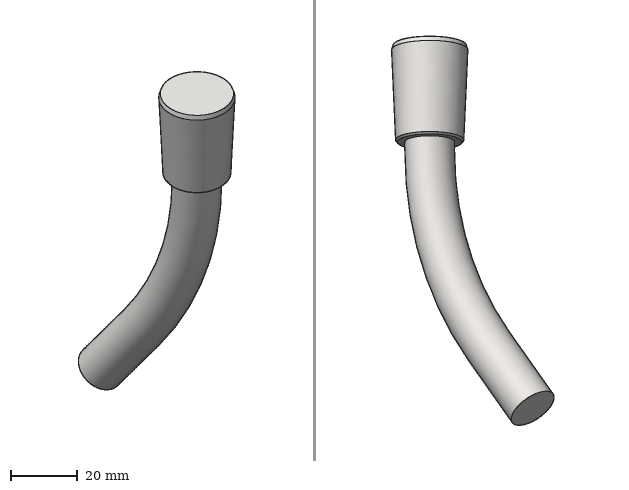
import cadquery as cq
import math

CAP_HEIGHT = 30.0
CAP_TOP_RADIUS = 11.5
CAP_BOTTOM_RADIUS = 10.3
TOP_CHAMFER_WIDTH = 0.5
TOP_CHAMFER_HEIGHT = 1.5
BOTTOM_CHAMFER = 0.6

ROD_RADIUS = 7.5
NECK_LENGTH = 2.5
BEND_RADIUS = 109.9
BEND_ANGLE = 35.0
TAIL_LENGTH = 25.5
LEAN_DIRECTION = 210.0


def make_cap():
    """Solid cone frustum, wider at the top, chamfered at both rims."""
    profile = [
        (0, 0),
        (CAP_TOP_RADIUS - TOP_CHAMFER_WIDTH, 0),
        (CAP_TOP_RADIUS, -TOP_CHAMFER_HEIGHT),
        (CAP_BOTTOM_RADIUS, BOTTOM_CHAMFER - CAP_HEIGHT),
        (CAP_BOTTOM_RADIUS - BOTTOM_CHAMFER, -CAP_HEIGHT),
        (0, -CAP_HEIGHT),
    ]
    return cq.Workplane("XZ").polyline(profile).close().revolve(360, (0, 0), (0, 1))


def make_rod():
    """Round rod: straight neck, circular bend, straight tail."""
    def bend_point(degrees):
        angle = math.radians(degrees)
        return (
            BEND_RADIUS * (1 - math.cos(angle)),
            -CAP_HEIGHT - NECK_LENGTH - BEND_RADIUS * math.sin(angle),
        )

    tail_angle = math.radians(BEND_ANGLE)
    path = (
        cq.Workplane("XZ")
        .moveTo(0, -CAP_HEIGHT)
        .lineTo(*bend_point(0))
        .threePointArc(bend_point(BEND_ANGLE / 2), bend_point(BEND_ANGLE))
        .line(TAIL_LENGTH * math.sin(tail_angle), -TAIL_LENGTH * math.cos(tail_angle))
    )
    rod = cq.Workplane("XY").workplane(offset=-CAP_HEIGHT).circle(ROD_RADIUS).sweep(path)
    return rod.rotate((0, 0, 0), (0, 0, 1), LEAN_DIRECTION)


cap = make_cap()
rod = make_rod()

result = cq.Compound.makeCompound([cap.val(), rod.val()])